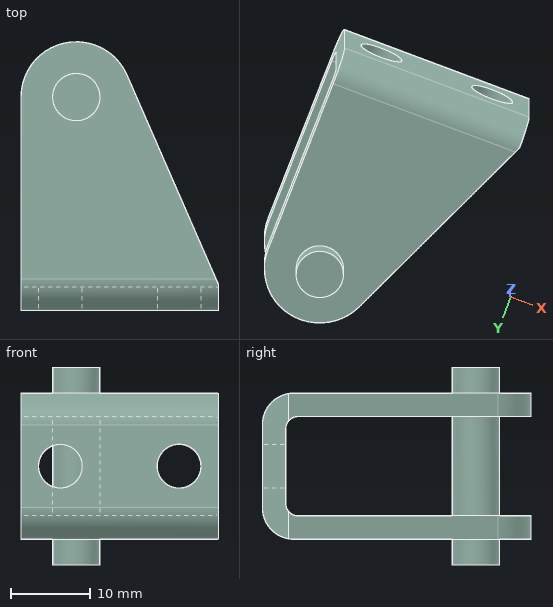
import cadquery as cq
import math

width = 25.0
depth = 34.0
bracket_height = 18.5
thickness = 3.0
outer_bend_radius = 4.0
inner_bend_radius = 1.5
ear_radius = 7.0
side_edge_length = 3.3
pin_diameter = 6.0
pin_length = 25.0
hole_diameter = 5.5
hole_inset = 5.0
hole_spacing = 15.0

pin_x = ear_radius
pin_y = depth - ear_radius


def bent_strip():
    """U-shaped channel, open toward +Y, with rounded bends."""
    outer = (
        cq.Workplane("XY")
        .box(width, depth, bracket_height, centered=(False, False, True))
        .edges("|X and <Y")
        .fillet(outer_bend_radius)
    )
    inner = (
        cq.Workplane("XY")
        .box(width, depth, bracket_height - 2 * thickness, centered=(False, False, True))
        .edges("|X and <Y")
        .fillet(inner_bend_radius)
        .translate((0, thickness, 0))
    )
    return outer.cut(inner)


def ear_outline():
    """Plan shape: straight side, round end and a taper tangent to it."""
    run = width - pin_x
    drop = side_edge_length - pin_y
    tangent_angle = math.atan2(drop, run) + math.acos(ear_radius / math.hypot(run, drop))
    middle_angle = (math.pi + tangent_angle) / 2

    def on_arc(angle):
        return (pin_x + ear_radius * math.cos(angle), pin_y + ear_radius * math.sin(angle))

    return (
        cq.Workplane("XY")
        .workplane(offset=-bracket_height / 2)
        .moveTo(0, 0)
        .lineTo(width, 0)
        .lineTo(width, side_edge_length)
        .lineTo(*on_arc(tangent_angle))
        .threePointArc(on_arc(middle_angle), (0, pin_y))
        .close()
        .extrude(bracket_height)
    )


def mounting_holes():
    """Two holes through the web."""
    return (
        cq.Workplane("XZ")
        .pushPoints([(hole_inset, 0), (hole_inset + hole_spacing, 0)])
        .circle(hole_diameter / 2)
        .extrude(-thickness)
    )


def pin():
    """Pin through both ears, protruding equally above and below."""
    return (
        cq.Workplane("XY")
        .center(pin_x, pin_y)
        .circle(pin_diameter / 2)
        .extrude(pin_length / 2, both=True)
    )


result = bent_strip().intersect(ear_outline()).cut(mounting_holes()).union(pin())